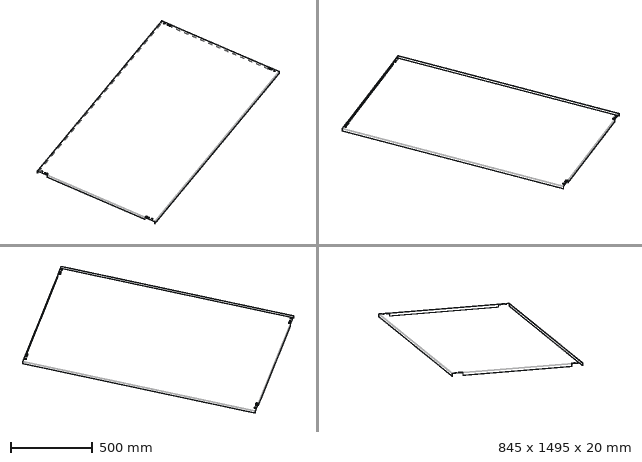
import cadquery as cq

width = 845.0
length = 1495.0
height = 20.0
sheet = 2.0
bend_radius = 2.4

flange_inset = 70.0

slot_inset = 27.0
slot_width = 9.0
slot_depth = 16.0

keyhole_inset = 66.0
keyhole_depth = 10.0
keyhole_diameter = 9.7
keyhole_slot_width = 6.0
keyhole_slot_length = 20.0


def box(size_x, size_y, size_z, x, y):
    """Box centred on x and y whose top lies on the panel face, at z = 0."""
    return (
        cq.Workplane("XY")
        .box(size_x, size_y, size_z, centered=(True, True, False))
        .translate((x, y, -size_z))
    )


def disc(diameter, x, y):
    """Upright cylinder through the sheet, centred on x and y."""
    return cq.Workplane("XY").center(x, y).circle(diameter / 2).extrude(-sheet)


def channel(span, fold_length):
    """Sheet folded down along both sides; span runs along X, the folds along Y."""
    inner_radius = bend_radius - sheet
    outer = box(span, fold_length, height, 0, 0).edges("|Y and >Z").fillet(bend_radius)
    inner = (
        box(span - 2 * sheet, fold_length, height - sheet, 0, 0)
        .edges("|Y and >Z")
        .fillet(inner_radius)
        .translate((0, 0, -sheet))
    )
    return outer.cut(inner)


def corner_cutter(side_x, side_y):
    """Open slot and keyhole at one corner; the signs pick the corner."""
    side = side_x * width / 2
    edge = side_y * length / 2

    slot_x = side - side_x * slot_inset
    slot_straight = slot_depth - slot_width / 2
    slot = box(slot_width, 2 * slot_straight, height, slot_x, edge)
    slot_end = disc(slot_width, slot_x, edge - side_y * slot_straight)

    hole_x = side - side_x * keyhole_inset
    keyhole_y = edge - side_y * keyhole_depth
    hole = disc(keyhole_diameter, hole_x, keyhole_y)
    keyhole_slot = box(
        keyhole_slot_length,
        keyhole_slot_width,
        sheet,
        hole_x + side_x * keyhole_slot_length / 2,
        keyhole_y,
    )
    return slot.union(slot_end).union(hole).union(keyhole_slot)


flange_span = width - 2 * flange_inset
side_channel = channel(width, length)
end_channel = channel(length, flange_span).rotate((0, 0, 0), (0, 0, 1), 90)

for side_y in (-1, 1):
    fold_space = box(flange_span, 2 * bend_radius, height, 0, side_y * length / 2)
    side_channel = side_channel.cut(fold_space)

result = side_channel.union(end_channel)
for side_x in (-1, 1):
    for side_y in (-1, 1):
        result = result.cut(corner_cutter(side_x, side_y))